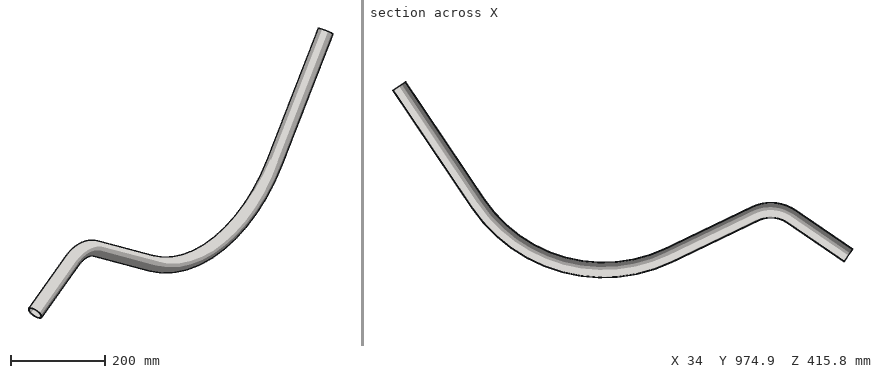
import cadquery as cq
import math

outer_diameter = 34.0
inner_diameter = 29.0

long_leg_length = 298.0
long_leg_heading = -56.1
wide_bend_radius = 321.0
middle_leg_length = 202.0
middle_leg_heading = 25.7
tight_bend_radius = 77.0
short_leg_length = 146.0
short_leg_heading = -34.3


def direction(heading):
    """Unit vector along a heading; its x and y parts lie along the Y and Z of the part."""
    angle = math.radians(heading)
    return cq.Vector(-math.cos(angle), math.sin(angle))


def add_leg(path, start, length, heading):
    """Add a straight leg and return the path with its new end point."""
    end = start + direction(heading) * length
    return path.lineTo(end.x, end.y), end


def add_bend(path, start, radius, start_heading, end_heading):
    """Add an arc tangent to both headings and return the path with its new end point."""
    half_turn = (end_heading - start_heading) / 2
    chord = 2 * radius * math.sin(math.radians(abs(half_turn)))
    end = start + direction(start_heading + half_turn) * chord
    return path.tangentArcPoint((end.x, end.y), relative=False), end


tube_end = cq.Vector(0, 0)
path = cq.Workplane("YZ").moveTo(tube_end.x, tube_end.y)
path, tube_end = add_leg(path, tube_end, long_leg_length, long_leg_heading)
path, tube_end = add_bend(path, tube_end, wide_bend_radius, long_leg_heading, middle_leg_heading)
path, tube_end = add_leg(path, tube_end, middle_leg_length, middle_leg_heading)
path, tube_end = add_bend(path, tube_end, tight_bend_radius, middle_leg_heading, short_leg_heading)
path, tube_end = add_leg(path, tube_end, short_leg_length, short_leg_heading)

start_direction = direction(long_leg_heading)
section_plane = cq.Plane(
    origin=(0, 0, 0),
    xDir=(1, 0, 0),
    normal=(0, start_direction.x, start_direction.y),
)
section = cq.Workplane(section_plane).circle(outer_diameter / 2).circle(inner_diameter / 2)
result = section.sweep(path)